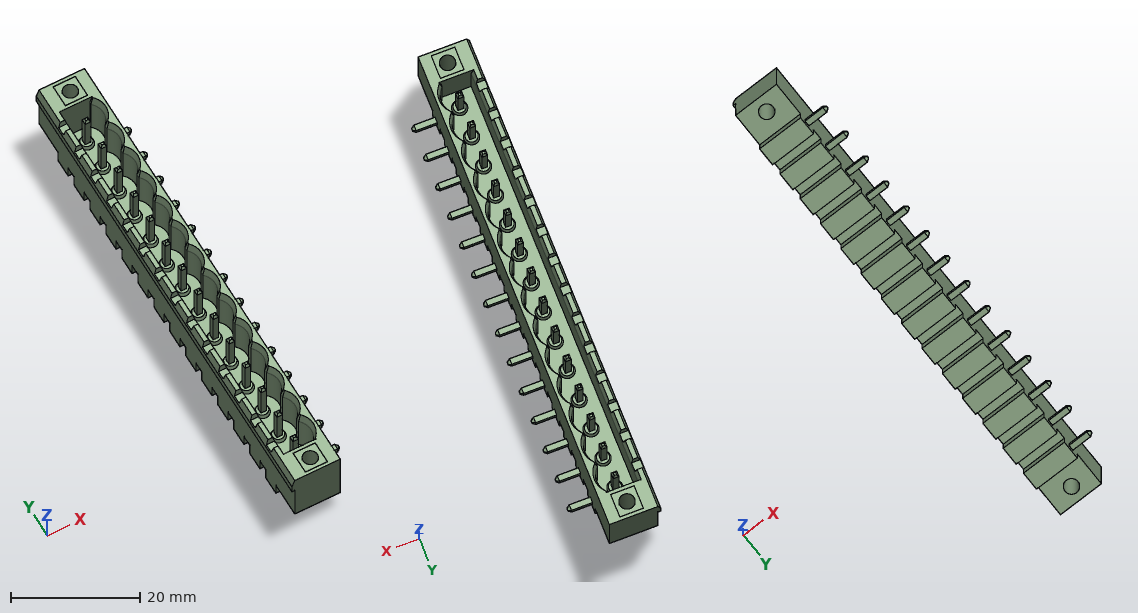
import cadquery as cq

LENGTH = 81.3
HEIGHT = 12.2
BACK_X = 8.5
LEG_END_X = 12.5

RAIL_PROUD = 0.5
RAIL_BOTTOM_DROP = 2.9
LEAD_IN_DROP = 1.5
RAIL_TOP_INSET = 0.5
FOOT_HEIGHT = 2.35
FOOT_WIDTH = 3.25

CONTACT_COUNT = 14
END_MARGIN = 7.6
CONTACT_X = 4.6
PITCH = (LENGTH - 2 * END_MARGIN) / (CONTACT_COUNT - 1)
CONTACT_YS = [END_MARGIN - LENGTH / 2 + i * PITCH for i in range(CONTACT_COUNT)]

CAVITY_END_WALL = 5.0
CAVITY_LENGTH = LENGTH - 2 * CAVITY_END_WALL
CAVITY_DEPTH = 8.1
CAVITY_FRONT_X = 1.7
CAVITY_BACK_X = 6.7
LIP_FLARE = 0.4
SCALLOP_RADIUS = 3.0
SCALLOP_MOUTH_RADIUS = SCALLOP_RADIUS + LIP_FLARE
FLOOR_Z = HEIGHT - CAVITY_DEPTH

SLOT_DEPTH = 1.05
SLOT_TOP_WIDTH = 1.8
SLOT_BOTTOM_WIDTH = 1.5

MOUNT_END_MARGIN = 2.5
MOUNT_HOLE_DIAMETER = 2.5
MOUNT_SEAT_SIDE = 3.9
MOUNT_SEAT_DEPTH = 0.1

PIN_SIDE = 1.0
PIN_TIP_LENGTH = 0.5
PIN_TIP_SIDE = 0.4
PIN_TIP_DROP = 1.05
COLLAR_DIAMETER = 2.5
COLLAR_TOP_DIAMETER = 2.0
COLLAR_HEIGHT = 0.65


def extrude_along_y(points, y_center, width):
    """Extrude an XZ outline by width, centred on y_center."""
    outline = cq.Workplane("XZ").polyline(points).close()
    return outline.extrude(width / 2, both=True).translate((0, y_center, 0))


def box_between(x_range, y_center, y_width, z_range):
    """Return a box from its X range, Y centre and width, and Z range."""
    x0, x1 = x_range
    z0, z1 = z_range
    return extrude_along_y([(x0, z0), (x1, z0), (x1, z1), (x0, z1)], y_center, y_width)


def frustum(radius, top_radius, height, y, z):
    """Return a vertical cone frustum on the contact axis."""
    axis_point = cq.Vector(CONTACT_X, y, z)
    return cq.Workplane(cq.Solid.makeCone(radius, top_radius, height, axis_point))


def make_housing():
    rail_bottom = HEIGHT - RAIL_BOTTOM_DROP
    profile = [
        (RAIL_PROUD, FOOT_HEIGHT),
        (BACK_X, FOOT_HEIGHT),
        (BACK_X, HEIGHT),
        (RAIL_TOP_INSET, HEIGHT),
        (0, HEIGHT - LEAD_IN_DROP),
        (0, rail_bottom),
        (RAIL_PROUD, rail_bottom),
    ]
    housing = extrude_along_y(profile, 0, LENGTH)
    for y in CONTACT_YS:
        housing = housing.union(box_between((RAIL_PROUD, BACK_X), y, FOOT_WIDTH, (0, FOOT_HEIGHT)))
    return housing


def make_cavity():
    """Return the cavity with sloped long lips and a flared scallop behind each contact."""
    lip_z = HEIGHT - LEAD_IN_DROP
    profile = [
        (CAVITY_FRONT_X, FLOOR_Z),
        (CAVITY_BACK_X, FLOOR_Z),
        (CAVITY_BACK_X, lip_z),
        (CAVITY_BACK_X + LIP_FLARE, HEIGHT),
        (CAVITY_FRONT_X - LIP_FLARE, HEIGHT),
        (CAVITY_FRONT_X, lip_z),
    ]
    cavity = extrude_along_y(profile, 0, CAVITY_LENGTH)
    scallop_zone = box_between((CONTACT_X, BACK_X), 0, CAVITY_LENGTH, (FLOOR_Z, HEIGHT))
    for y in CONTACT_YS:
        bore = cq.Workplane(origin=(CONTACT_X, y, FLOOR_Z)).circle(SCALLOP_RADIUS).extrude(CAVITY_DEPTH)
        flare = frustum(SCALLOP_RADIUS, SCALLOP_MOUTH_RADIUS, LEAD_IN_DROP, y, lip_z)
        cavity = cavity.union(bore.union(flare).intersect(scallop_zone))
    return cavity


def make_coding_slot(y):
    """Return a trapezoidal slot through the front wall, narrower at its floor."""
    outline = [
        (y - SLOT_BOTTOM_WIDTH / 2, HEIGHT - SLOT_DEPTH),
        (y + SLOT_BOTTOM_WIDTH / 2, HEIGHT - SLOT_DEPTH),
        (y + SLOT_TOP_WIDTH / 2, HEIGHT),
        (y - SLOT_TOP_WIDTH / 2, HEIGHT),
    ]
    return cq.Workplane("YZ").polyline(outline).close().extrude(CAVITY_FRONT_X)


def cut_mount(housing, y):
    """Cut a through hole and its shallow square seat into a flange."""
    center = (CONTACT_X, y, HEIGHT)
    hole = cq.Workplane(origin=center).circle(MOUNT_HOLE_DIAMETER / 2).extrude(-HEIGHT)
    seat = cq.Workplane(origin=center).rect(MOUNT_SEAT_SIDE, MOUNT_SEAT_SIDE).extrude(-MOUNT_SEAT_DEPTH)
    return housing.cut(hole).cut(seat)


def square_prong(plane, length):
    """Return a square prong along the plane normal, ending in a tapered tip."""
    shank_length = length - PIN_TIP_LENGTH
    shank = cq.Workplane(plane).rect(PIN_SIDE, PIN_SIDE).extrude(shank_length)
    tip = (
        cq.Workplane(plane)
        .workplane(offset=shank_length)
        .rect(PIN_SIDE, PIN_SIDE)
        .workplane(offset=PIN_TIP_LENGTH)
        .rect(PIN_TIP_SIDE, PIN_TIP_SIDE)
        .loft()
    )
    return shank.union(tip)


def make_contact(y):
    """Return an L-shaped contact: upright pin, floor collar and solder leg towards +X."""
    leg_z = FOOT_HEIGHT - PIN_SIDE / 2
    bend = cq.Vector(CONTACT_X, y, leg_z)
    upright = square_prong(cq.Plane(bend, (1, 0, 0), (0, 0, 1)), HEIGHT - PIN_TIP_DROP - leg_z)
    leg = square_prong(cq.Plane(bend, (0, 1, 0), (1, 0, 0)), LEG_END_X - CONTACT_X)
    collar = frustum(COLLAR_DIAMETER / 2, COLLAR_TOP_DIAMETER / 2, COLLAR_HEIGHT, y, FLOOR_Z)
    return upright.union(leg).union(collar)


result = make_housing().cut(make_cavity())

for contact_y in CONTACT_YS:
    result = result.cut(make_coding_slot(contact_y))
    result = result.union(make_contact(contact_y))

for side in (-1, 1):
    result = cut_mount(result, side * (LENGTH / 2 - MOUNT_END_MARGIN))